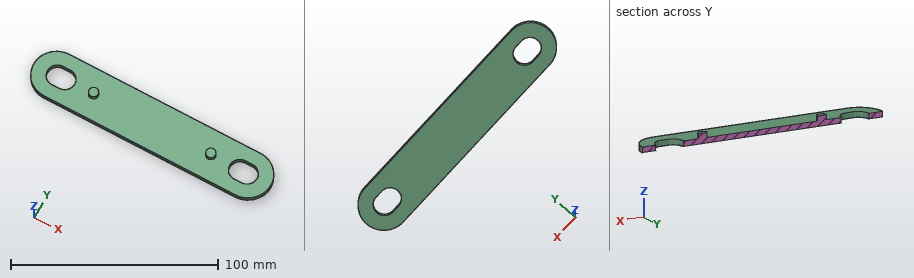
import cadquery as cq

plate_length = 131.0
plate_width = 25.0
plate_thickness = 3.0

overall_height = 5.5
pin_height = overall_height - plate_thickness
pin_base_diameter = 5.1
pin_top_diameter = 5.0
pin_spacing = 65.0

slot_length = 14.9
slot_width = 11.0
slot_spacing = 101.0


def mirrored_pair(spacing):
    """Points on the long axis, one on each side of the plate centre."""
    return [(side * spacing / 2, 0) for side in (-1, 1)]


def make_plate():
    return cq.Workplane("XY").slot2D(plate_length, plate_width).extrude(plate_thickness)


def make_slots():
    return (
        cq.Workplane("XY")
        .pushPoints(mirrored_pair(slot_spacing))
        .slot2D(slot_length, slot_width)
        .extrude(plate_thickness)
    )


def make_pins():
    pin = cq.Solid.makeCone(pin_base_diameter / 2, pin_top_diameter / 2, pin_height)
    return (
        cq.Workplane("XY", origin=(0, 0, plate_thickness))
        .pushPoints(mirrored_pair(pin_spacing))
        .eachpoint(lambda location: pin.moved(location), combine=False)
    )


result = make_plate().cut(make_slots()).union(make_pins())